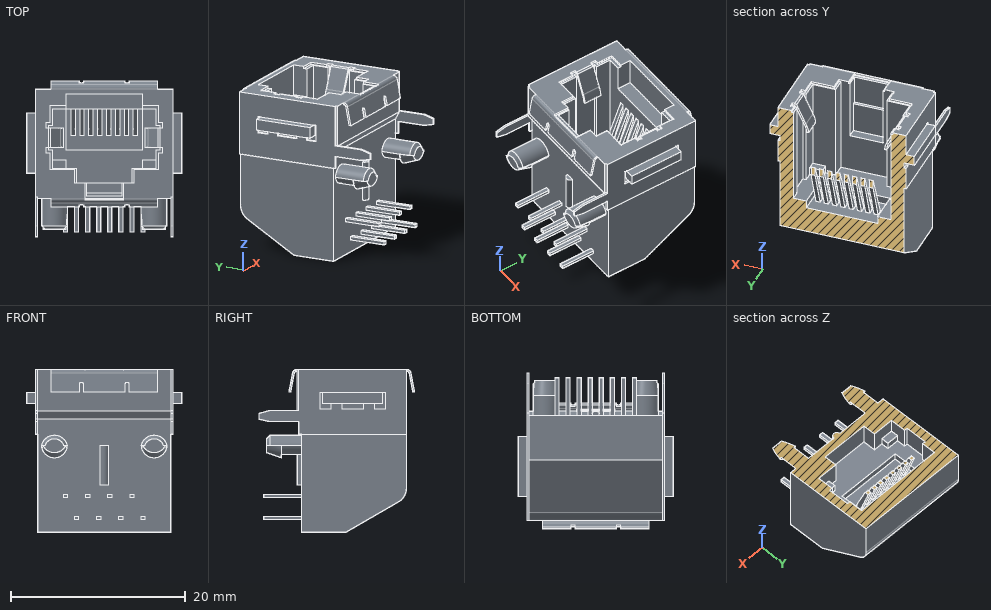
import cadquery as cq
import math


height = 18.67
body_half_width = 7.64
body_back_y = 12.06
bottom_flat = 5.12
slope_angle = 30.0
slope_fillet = 1.85
sheet = 0.25
shell_half_width = body_half_width + sheet
shell_bottom_z = 11.22
shell_side_front_y = -0.3
shell_front_y = -0.5
front_lip_top_z = 13.89
front_lip_bottom_z = 12.95
body_top_z = height - sheet

cavity_half_width = 5.95
cavity_back_y = 9.76
cavity_front_y = 2.97
step_half_width = 3.15
step_front_y = 1.29
cavity_floor_z = 6.53
shell_gap = 0.25
shell_gap_front = 0.15
shell_gap_back = 0.41
recess_half_width = 4.37
recess_back_y = 11.46
recess_floor_z = 15.09
pit_front_y = 5.1
pit_floor_z = 5.6
corner_block_depth = 0.97
corner_block_height = 0.93
latch_half_width = 2.05
latch_front_y = -0.17
latch_ledge_y = 0.17
latch_ledge_z = 14.94
latch_floor_z = 11.2
shell_latch_half_width = 2.2
shell_latch_front_y = -0.65

spring_center_y = 6.48
spring_width = 2.22
relief_width = 0.62
relief_half_x = 6.67
spring_pocket_half_x = 6.37
spring_pocket_width = 2.82
spring_bend_x = 6.15
spring_knee_x = 5.0
spring_knee_z = 16.13
spring_curl_x = 4.76
spring_curl_z = 15.57
spring_tip_x = 4.67
spring_tip_z = 15.01

key_half_x = 8.89
key_y = (2.4, 9.32)
key_z = (14.75, 16.04)
window_y = (2.17, 9.63)
window_bottom_z = 14.11
window_teeth_y = ((3.38, 4.65), (7.11, 8.4))

fin_half_width = 6.12
fin_reach = 0.93
fin_bottom_z = 16.05
fin_apex_reach = 0.43
fin_bend_radius = 0.5
fin_thickness = 0.22
fin_slot_x = 2.61
fin_slot_width = 0.49
fin_slot_top_z = 17.2

leg_z = (12.68, 13.97)
leg_tip_z = (12.95, 13.63)
leg_taper_y = -3.65
leg_tip_y = -4.87

peg_x = 5.71
peg_z = 9.97
peg_half_width = 1.47
peg_upper_height = 1.15
peg_lower_height = 1.06
peg_end_y = -4.01
peg_chamfer = 0.41
barb_start_y = -2.3
barb_height = 1.44
barb_tip_half_width = 1.3
barb_tip_height = 0.84
rib_half_width = 0.5
rib_depth = 0.49
rib_z = (5.41, 9.97)
pin_width = 0.5
pin_height = 0.4
pin_end_y = -4.33
pin_pitch = 2.54
pin_count = 4
upper_row_z = 4.16
lower_row_z = 1.65
contact_count = 8
contact_row_length = 7.13
contact_pitch = contact_row_length / (contact_count - 1)
contact_width = 0.5
contact_top_z = 13.25
contact_front_y = 6.72
contact_thickness = 0.75


def block(x, y, z):
    """Box between the two limits given for each axis."""
    size = [abs(b - a) for a, b in (x, y, z)]
    corner = [min(a, b) for a, b in (x, y, z)]
    return cq.Workplane("XY").box(*size, centered=False).translate(tuple(corner))


def wide_block(half_width, y, z):
    """Box centred on X = 0."""
    return block((-half_width, half_width), y, z)


def both_sides(solid):
    """The solid together with its mirror image across X = 0."""
    return solid.union(solid.mirror("YZ"))


def side_profile(points, x_start, x_length):
    """Closed (y, z) outline extruded along +X."""
    outline = cq.Workplane("YZ").workplane(offset=x_start).polyline(points).close()
    return outline.extrude(x_length)


def plug_outline(half_width, back_y, front_y, step_half, z):
    """Stepped plug opening cut from above, from the mating face down to z."""
    main = wide_block(half_width, (front_y, back_y), (z, height))
    return main.union(wide_block(step_half, (step_front_y, back_y), (z, height)))


def make_body():
    slope_top_z = (body_back_y - bottom_flat) * math.tan(math.radians(slope_angle))
    body = side_profile(
        [(0, 0), (bottom_flat, 0), (body_back_y, slope_top_z), (body_back_y, body_top_z), (0, body_top_z)],
        -body_half_width,
        2 * body_half_width,
    )
    slope_corner = cq.selectors.NearestToPointSelector((0, body_back_y, slope_top_z))
    return body.edges("|X").edges(slope_corner).fillet(slope_fillet)


def make_shell():
    side = block(
        (body_half_width, shell_half_width), (shell_side_front_y, body_back_y), (shell_bottom_z, height)
    )
    top = wide_block(body_half_width, (shell_front_y, body_back_y), (body_top_z, height))
    front = side_profile(
        [(0, front_lip_bottom_z), (shell_front_y, front_lip_top_z), (shell_front_y, height), (0, height)],
        -body_half_width,
        2 * body_half_width,
    )
    return both_sides(side).union(top).union(front)


def make_fin(root_y, outward):
    """Bent fin hanging off the top edge; outward is the Y direction it leans to."""
    lean = (fin_reach - fin_apex_reach) / (height - fin_bottom_z)
    inner_apex_reach = fin_apex_reach + (lean - 1) * fin_thickness
    inner_apex_z = height - fin_thickness
    profile = [
        (-sheet, height),
        (fin_apex_reach, height),
        (fin_reach, fin_bottom_z),
        (fin_reach - fin_thickness, fin_bottom_z),
        (inner_apex_reach, inner_apex_z),
        (-sheet, inner_apex_z),
    ]
    points = [(root_y + outward * y, z) for y, z in profile]
    fin = side_profile(points, -fin_half_width, 2 * fin_half_width)
    outer_apex = (0, root_y + outward * fin_apex_reach, height)
    inner_apex = (0, root_y + outward * inner_apex_reach, inner_apex_z)
    fin = fin.edges(cq.selectors.NearestToPointSelector(outer_apex)).fillet(fin_bend_radius)
    fin = fin.edges(cq.selectors.NearestToPointSelector(inner_apex)).fillet(fin_bend_radius - fin_thickness)
    slot_radius = fin_slot_width / 2
    slot_y = (root_y, root_y + outward * 2 * fin_reach)
    slot_center_z = fin_slot_top_z - slot_radius
    slot = block(
        (fin_slot_x - slot_radius, fin_slot_x + slot_radius), slot_y, (fin_bottom_z - sheet, slot_center_z)
    )
    round_end = (
        cq.Workplane("XZ", origin=(fin_slot_x, root_y, slot_center_z))
        .circle(slot_radius)
        .extrude(-outward * 2 * fin_reach)
    )
    return fin.cut(both_sides(slot.union(round_end)))


def cut_cavity(part):
    cavity = plug_outline(cavity_half_width, cavity_back_y, cavity_front_y, step_half_width, cavity_floor_z)
    corner_block = block(
        (recess_half_width, cavity_half_width),
        (cavity_front_y, cavity_front_y + corner_block_depth),
        (cavity_floor_z, cavity_floor_z + corner_block_height),
    )
    cavity = cavity.cut(both_sides(corner_block))
    shell_opening = plug_outline(
        cavity_half_width + shell_gap,
        cavity_back_y + shell_gap_back,
        cavity_front_y - shell_gap_front,
        step_half_width + shell_gap,
        body_top_z,
    )
    recess = wide_block(recess_half_width, (pit_front_y, recess_back_y), (recess_floor_z, height))
    pit = wide_block(recess_half_width, (pit_front_y, cavity_back_y), (pit_floor_z, height))
    latch = wide_block(latch_half_width, (latch_ledge_y, step_front_y), (latch_floor_z, height))
    latch_mouth = wide_block(latch_half_width, (latch_front_y, step_front_y), (latch_ledge_z, height))
    shell_latch = wide_block(
        shell_latch_half_width, (shell_latch_front_y, step_front_y), (body_top_z, height)
    )
    for pocket in (cavity, shell_opening, recess, pit, latch, latch_mouth, shell_latch):
        part = part.cut(pocket)
    return part


def cut_spring_space(part):
    """Pocket behind each spring and the relief cuts on both sides of its root."""
    pocket_y = (spring_center_y - spring_pocket_width / 2, spring_center_y + spring_pocket_width / 2)
    pocket = block((0, spring_pocket_half_x), pocket_y, (cavity_floor_z, height))
    relief_half_span = spring_width / 2 + relief_width
    relief_y = (spring_center_y - relief_half_span, spring_center_y + relief_half_span)
    relief = block((0, relief_half_x), relief_y, (body_top_z, height))
    keep_wall = block((0, cavity_half_width), (0, body_back_y), (0, height))
    return part.cut(both_sides(pocket.union(relief).cut(keep_wall)))


def make_springs():
    """Tongues bent from the shell's top sheet down into the cavity."""
    spring = (
        cq.Workplane("XZ", origin=(0, spring_center_y + spring_width / 2, 0))
        .moveTo(relief_half_x, height)
        .lineTo(spring_pocket_half_x, height)
        .lineTo(spring_bend_x, height - sheet / 2)
        .lineTo(spring_knee_x, spring_knee_z)
        .threePointArc((spring_curl_x, spring_curl_z), (spring_tip_x, spring_tip_z))
        .lineTo(spring_tip_x + sheet, spring_tip_z)
        .threePointArc((spring_curl_x + sheet, spring_curl_z), (spring_knee_x + sheet, spring_knee_z))
        .lineTo(spring_pocket_half_x, body_top_z)
        .lineTo(relief_half_x, body_top_z)
        .close()
        .extrude(spring_width)
    )
    return both_sides(spring)


def add_side_keys(part):
    """Keys of the body standing out through toothed windows in the shell."""
    window = block((body_half_width, shell_half_width), window_y, (window_bottom_z, key_z[1]))
    for tooth_y in window_teeth_y:
        tooth = block((body_half_width, shell_half_width), tooth_y, (window_bottom_z, key_z[0]))
        window = window.cut(tooth)
    key = block((body_half_width, key_half_x), key_y, key_z)
    return part.cut(both_sides(window)).union(both_sides(key))


def make_legs():
    leg = side_profile(
        [
            (0, leg_z[0]),
            (leg_taper_y, leg_z[0]),
            (leg_tip_y, leg_tip_z[0]),
            (leg_tip_y, leg_tip_z[1]),
            (leg_taper_y, leg_z[1]),
            (0, leg_z[1]),
        ],
        body_half_width,
        sheet,
    )
    return both_sides(leg)


def peg_segment(start_y, end_y, start_size, end_size):
    """Half peg along Y between two arc segments; a size is (half width, signed rise off the split plane)."""
    segment = cq.Workplane("XZ", origin=(peg_x, start_y, peg_z))
    for offset, (half_width, rise) in ((0, start_size), (start_y - end_y, end_size)):
        segment = segment.workplane(offset=offset).moveTo(-half_width, 0)
        segment = segment.threePointArc((0, rise), (half_width, 0)).close()
    return segment.loft(ruled=True)


def make_pegs():
    """Split pegs: a chamfered upper half and a lower half that ends in a barb."""
    upper_size = (peg_half_width, peg_upper_height)
    upper_tip = (peg_half_width - peg_chamfer, peg_upper_height - peg_chamfer)
    lower_size = (peg_half_width, -peg_lower_height)
    barb_size = (peg_half_width, -barb_height)
    barb_tip = (barb_tip_half_width, -barb_tip_height)
    chamfer_y = peg_end_y + peg_chamfer
    peg = peg_segment(0, chamfer_y, upper_size, upper_size)
    peg = peg.union(peg_segment(chamfer_y, peg_end_y, upper_size, upper_tip))
    peg = peg.union(peg_segment(0, barb_start_y, lower_size, lower_size))
    peg = peg.union(peg_segment(barb_start_y, peg_end_y, barb_size, barb_tip))
    return both_sides(peg)


def make_rib():
    """Rounded standoff rib on the board face."""
    return (
        cq.Workplane("XY", origin=(0, 0, rib_z[0]))
        .moveTo(-rib_half_width, 0)
        .threePointArc((0, -rib_depth), (rib_half_width, 0))
        .close()
        .extrude(rib_z[1] - rib_z[0])
    )


def add_pins(part):
    """Two staggered rows of solder pins."""
    stagger = pin_pitch / 4
    for row_z, shift in ((upper_row_z, -stagger), (lower_row_z, stagger)):
        for i in range(pin_count):
            x = (i - (pin_count - 1) / 2) * pin_pitch + shift
            pin = block(
                (x - pin_width / 2, x + pin_width / 2),
                (pin_end_y, 0),
                (row_z - pin_height / 2, row_z + pin_height / 2),
            )
            part = part.union(pin)
    return part


def add_contacts(part):
    """Slanted contact strips from the cavity's back wall down to the pit floor."""
    profile = [
        (cavity_back_y, contact_top_z),
        (contact_front_y, pit_floor_z),
        (contact_front_y + contact_thickness, pit_floor_z),
        (cavity_back_y, contact_top_z - contact_thickness),
    ]
    for i in range(contact_count):
        x = (i - (contact_count - 1) / 2) * contact_pitch
        part = part.union(side_profile(profile, x - contact_width / 2, contact_width))
    return part


part = make_body().union(make_shell())
part = part.union(make_fin(shell_front_y, -1)).union(make_fin(body_back_y, 1))
part = cut_cavity(part)
part = cut_spring_space(part)
part = part.union(make_springs())
part = add_side_keys(part)
part = part.union(make_legs()).union(make_pegs()).union(make_rib())
part = add_pins(part)
result = add_contacts(part)